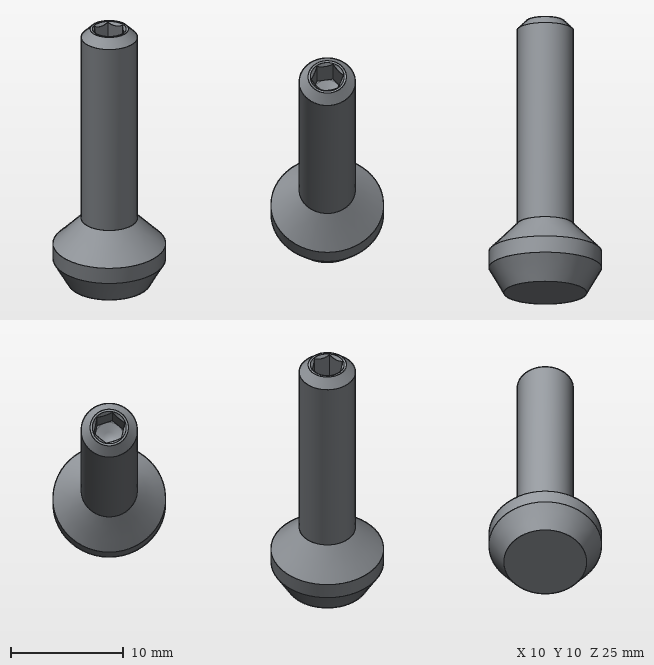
import cadquery as cq
import math

total_length = 25.0
head_radius = 5.0
shank_radius = 2.5
tip_chamfer = 0.8

lower_cone_height = 2.3
lower_cone_angle = 30.0
band_height = 1.5

socket_across_flats = 2.5
socket_depth = 2.5
socket_mouth_radius = 1.5
mouth_cone_angle = 45.0
drill_point_angle = 72.0

foot_radius = head_radius - lower_cone_height * math.tan(math.radians(lower_cone_angle))
band_top = lower_cone_height + band_height
shoulder_top = band_top + head_radius - shank_radius
drill_radius = socket_across_flats / 2
hexagon_diameter = socket_across_flats / math.cos(math.radians(30))
socket_floor = total_length - socket_depth


def make_body():
    """Head and shank, revolved about Z."""
    return (
        cq.Workplane("XZ")
        .polyline([
            (0, 0),
            (foot_radius, 0),
            (head_radius, lower_cone_height),
            (head_radius, band_top),
            (shank_radius, shoulder_top),
            (shank_radius, total_length - tip_chamfer),
            (shank_radius - tip_chamfer, total_length),
            (0, total_length),
        ])
        .close()
        .revolve(360, (0, 0, 0), (0, 1, 0))
    )


def make_cone_down(base_radius, angle, base_z):
    """Solid cone with its base at base_z and its point below."""
    height = base_radius / math.tan(math.radians(angle))
    return cq.Workplane(
        cq.Solid.makeCone(base_radius, 0, height, cq.Vector(0, 0, base_z), cq.Vector(0, 0, -1))
    )


def make_socket():
    """Hexagon with two corners on the X axis, a conical mouth and a drill point."""
    hexagon = (
        cq.Workplane("XY", origin=(0, 0, socket_floor))
        .polygon(6, hexagon_diameter)
        .extrude(socket_depth)
    )
    mouth = make_cone_down(socket_mouth_radius, mouth_cone_angle, total_length)
    drill_point = make_cone_down(drill_radius, drill_point_angle, socket_floor)
    return hexagon.union(mouth).union(drill_point)


result = make_body().cut(make_socket())